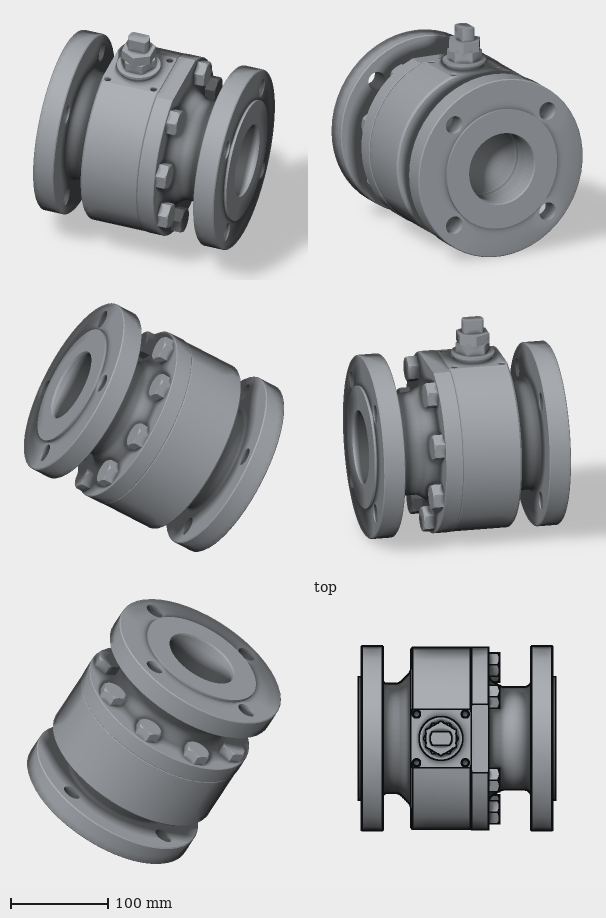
import cadquery as cq
import math


inlet_face = -85.0
outlet_face = 118.0
bore_dia = 75.0
bore_mouth_dia = 76.5
bore_mouth_length = 2.2
raised_face_dia = 127.0
raised_face_height = 3.0
flange_dia = 190.0
flange_thickness = 22.5
flange_chamfer = 1.0
flange_hole_dia = 19.0
flange_hole_circle = 152.4
flange_hole_count = 4
first_flange_hole_angle = 45.0

housing_dia = 187.0
housing_start = -31.0
joint_x = 31.3
housing_chamfer = 2.0
joint_chamfer = 1.2
housing_neck_dia = 113.0
housing_cone_start = -43.0
housing_cone_angle = 45.0
housing_flange_fillet = 3.5
neck_fillet = 8.0
pad_height = 88.5
pad_hole_dia = 6.75
pad_hole_mouth_dia = 8.0
pad_hole_spacing = 50.0
pad_hole_depth = 14.0
drill_tip_angle = 118.0
seat_start = -47.8
seat_dia = 76.0

cover_dia = 188.0
cover_plate_end = 49.3
cover_flat_height = 87.2
cover_edge_chamfer = 0.6
hub_fillet = 9.0
cover_neck_dia = 106.0
cover_cone_end = 62.4
cover_cone_angle = 30.0
cover_flange_fillet = 6.5
bolt_count = 8
bolt_pitch_angle = 42.0
bolt_circle = 157.0
bolt_across_flats = 24.0
bolt_head_height = 11.0
bolt_chamfer_angle = 45.0

ball_dia = 116.0
ball_bore_chamfer = 1.0
stem_dia = 22.45
stem_across_flats = 14.0
collar_dia = 40.0
washer_dia = 45.0
nut_across_flats = 31.0
washer_start = 92.8
lower_nut_start = 95.3
upper_nut_start = 105.8
upper_nut_end = 116.5
stem_top = 130.5

beyond = 200.0


def across_corners(across_flats):
    """Corner-to-corner width of a regular hexagon."""
    return across_flats / math.cos(math.radians(30))


def turned(points):
    """Solid of revolution about X from (x, radius, corner fillet) points, closed along the axis."""
    first_x = points[0][0]
    last_x = points[-1][0]
    profile = cq.Workplane("XY").moveTo(first_x, 0).lineTo(*points[0][:2])
    for before, corner, after in zip(points, points[1:], points[2:]):
        here = cq.Vector(*corner[:2])
        if corner[2] == 0:
            profile = profile.lineTo(here.x, here.y)
            continue
        to_before = (cq.Vector(*before[:2]) - here).normalized()
        to_after = (cq.Vector(*after[:2]) - here).normalized()
        half_angle = to_before.getAngle(to_after) / 2
        setback = corner[2] / math.tan(half_angle)
        arc_depth = corner[2] / math.sin(half_angle) - corner[2]
        arc_start = here + to_before * setback
        arc_middle = here + (to_before + to_after).normalized() * arc_depth
        arc_end = here + to_after * setback
        profile = profile.lineTo(arc_start.x, arc_start.y)
        profile = profile.threePointArc((arc_middle.x, arc_middle.y), (arc_end.x, arc_end.y))
    profile = profile.lineTo(*points[-1][:2]).lineTo(last_x, 0).close()
    return profile.revolve(360, (0, 0, 0), (1, 0, 0))


def flange_points(face, inward, neck_dia, neck_root_fillet):
    """Flange outline from the raised face towards the valve centre, ending in the neck root."""
    front = face + inward * raised_face_height
    back = front + inward * flange_thickness
    return [
        (face, raised_face_dia / 2, 0),
        (front, raised_face_dia / 2, 0),
        (front, flange_dia / 2 - flange_chamfer, 0),
        (front + inward * flange_chamfer, flange_dia / 2, 0),
        (back - inward * flange_chamfer, flange_dia / 2, 0),
        (back, flange_dia / 2 - flange_chamfer, 0),
        (back, neck_dia / 2, neck_root_fillet),
    ]


def flange_cut(face, inward):
    """Bolt holes through one flange, and the tapered mouth of its bore."""
    hole_length = raised_face_height + flange_thickness
    holes = (
        cq.Workplane("YZ", origin=(face, 0, 0))
        .polarArray(flange_hole_circle / 2, first_flange_hole_angle, 360, flange_hole_count)
        .circle(flange_hole_dia / 2)
        .extrude(inward * hole_length)
    )
    mouth = turned([
        (face, bore_mouth_dia / 2, 0),
        (face + inward * bore_mouth_length, bore_dia / 2, 0),
    ])
    return holes.union(mouth)


def above(height, start, end):
    """Block that removes everything above a height between two X positions."""
    block = cq.Workplane("XY").box(end - start, beyond, beyond, centered=(False, True, False))
    return block.translate((start, 0, height))


def pad_holes():
    """Blind tapped holes around the stem, each with a chamfered mouth and a drill tip."""
    radius = pad_hole_dia / 2
    mouth_radius = pad_hole_mouth_dia / 2
    tip_depth = radius / math.tan(math.radians(drill_tip_angle / 2))
    hole = (
        cq.Workplane("XZ")
        .polyline([
            (0, 0),
            (mouth_radius, 0),
            (radius, radius - mouth_radius),
            (radius, -pad_hole_depth),
            (0, -pad_hole_depth - tip_depth),
        ])
        .close()
        .revolve(360, (0, 0, 0), (0, 1, 0))
        .val()
    )
    return (
        cq.Workplane("XY", origin=(0, 0, pad_height))
        .rarray(pad_hole_spacing, pad_hole_spacing, 2, 2)
        .eachpoint(lambda place: hole.moved(place), combine=True)
    )


def bore():
    length = outlet_face - inlet_face
    return cq.Workplane("YZ", origin=(inlet_face, 0, 0)).circle(bore_dia / 2).extrude(length)


def ball_sphere():
    radius = ball_dia / 2
    half_disc = cq.Workplane("XY").moveTo(-radius, 0).threePointArc((0, radius), (radius, 0)).close()
    return half_disc.revolve(360, (0, 0, 0), (1, 0, 0))


def ball_space():
    """Spherical seat for the ball and the round passage for its stem."""
    passage = cq.Workplane("XY").circle(stem_dia / 2).extrude(beyond)
    return ball_sphere().union(passage)


def make_housing():
    """Inlet flange, neck and main barrel, with a flat mounting pad on top."""
    cone_rise = (housing_start - housing_cone_start) * math.tan(math.radians(housing_cone_angle))
    outside = turned(
        flange_points(inlet_face, 1, housing_neck_dia, housing_flange_fillet)
        + [
            (housing_cone_start, housing_neck_dia / 2, neck_fillet),
            (housing_start, housing_neck_dia / 2 + cone_rise, neck_fillet),
            (housing_start, housing_dia / 2 - housing_chamfer, 0),
            (housing_start + housing_chamfer, housing_dia / 2, 0),
            (joint_x - joint_chamfer, housing_dia / 2, 0),
            (joint_x, housing_dia / 2 - joint_chamfer, 0),
        ]
    )
    seat = cq.Workplane("YZ", origin=(seat_start, 0, 0)).circle(seat_dia / 2).extrude(-seat_start)
    return (
        outside.cut(above(pad_height, housing_start, joint_x))
        .cut(flange_cut(inlet_face, 1))
        .cut(pad_holes())
        .cut(bore())
        .cut(seat)
        .cut(ball_space())
    )


def bolt_head():
    """Hexagon head standing on the cover plate at the bore axis, with a cone-chamfered top."""
    corner_dia = across_corners(bolt_across_flats)
    corner_rise = (corner_dia - bolt_across_flats) / 2 * math.tan(math.radians(bolt_chamfer_angle))
    head_end = cover_plate_end + bolt_head_height
    hexagon = (
        cq.Workplane("YZ", origin=(cover_plate_end, 0, 0))
        .transformed(rotate=(0, 0, 90))
        .polygon(6, corner_dia)
        .extrude(bolt_head_height)
    )
    envelope = turned([
        (cover_plate_end, corner_dia / 2, 0),
        (head_end - corner_rise, corner_dia / 2, 0),
        (head_end, bolt_across_flats / 2, 0),
    ])
    return hexagon.intersect(envelope)


def make_cover():
    """Bolted cover with the outlet neck and flange; the bolt heads are part of it."""
    cone_rise = (cover_cone_end - cover_plate_end) * math.tan(math.radians(cover_cone_angle))
    outlet_points = flange_points(outlet_face, -1, cover_neck_dia, cover_flange_fillet)
    cover = turned(
        [
            (joint_x, cover_dia / 2 - cover_edge_chamfer, 0),
            (joint_x + cover_edge_chamfer, cover_dia / 2, 0),
            (cover_plate_end - cover_edge_chamfer, cover_dia / 2, 0),
            (cover_plate_end, cover_dia / 2 - cover_edge_chamfer, 0),
            (cover_plate_end, cover_neck_dia / 2 + cone_rise, hub_fillet),
            (cover_cone_end, cover_neck_dia / 2, neck_fillet),
        ]
        + outlet_points[::-1]
    )
    cover = cover.cut(above(cover_flat_height, joint_x, cover_plate_end))
    head = bolt_head()
    for number in range(bolt_count):
        angle = math.radians(-90 + (number - (bolt_count - 1) / 2) * bolt_pitch_angle)
        y = bolt_circle / 2 * math.cos(angle)
        z = bolt_circle / 2 * math.sin(angle)
        cover = cover.union(head.translate((0, y, z)))
    return cover.cut(flange_cut(outlet_face, -1)).cut(bore()).cut(ball_space())


def disc(start, end, diameter):
    """Round section of the stem between two heights."""
    return cq.Workplane("XY", origin=(0, 0, start)).circle(diameter / 2).extrude(end - start)


def nut(start, end, turn):
    """Hexagon nut around the stem, with a corner on X when the turn is zero."""
    return (
        cq.Workplane("XY", origin=(0, 0, start))
        .transformed(rotate=(0, 0, turn))
        .polygon(6, across_corners(nut_across_flats))
        .extrude(end - start)
    )


def make_ball_and_stem():
    """Bored ball with its stem, collar, washer and two nuts, as one solid."""
    mouth_radius = bore_dia / 2 + ball_bore_chamfer
    mouth_x = math.sqrt((ball_dia / 2) ** 2 - mouth_radius ** 2)
    bore_cut = turned([
        (-ball_dia / 2, mouth_radius, 0),
        (-mouth_x, mouth_radius, 0),
        (-mouth_x + ball_bore_chamfer, bore_dia / 2, 0),
        (mouth_x - ball_bore_chamfer, bore_dia / 2, 0),
        (mouth_x, mouth_radius, 0),
        (ball_dia / 2, mouth_radius, 0),
    ])
    flats = cq.Workplane("XY", origin=(0, 0, upper_nut_end)).rect(beyond, stem_across_flats).extrude(beyond)
    return (
        ball_sphere()
        .union(disc(0, upper_nut_end, stem_dia))
        .union(disc(pad_height, washer_start, collar_dia))
        .union(disc(washer_start, lower_nut_start, washer_dia))
        .union(nut(lower_nut_start, upper_nut_start, 0))
        .union(nut(upper_nut_start, upper_nut_end, 90))
        .union(disc(upper_nut_end, stem_top, stem_dia).intersect(flats))
        .cut(bore_cut)
    )


housing = make_housing()
cover = make_cover()
ball_and_stem = make_ball_and_stem()

result = cq.Compound.makeCompound([housing.val(), cover.val(), ball_and_stem.val()])